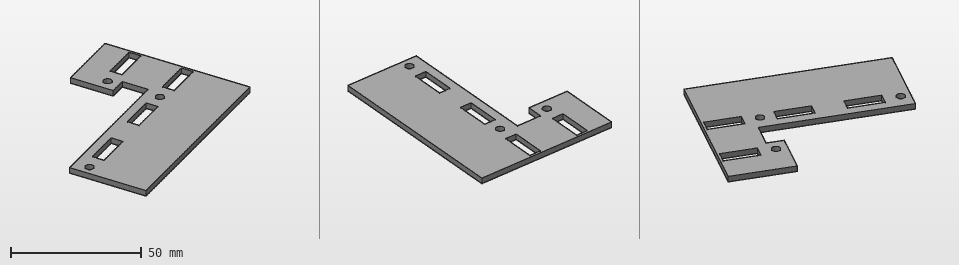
import cadquery as cq

plate_width = 63.5
plate_length = 82.9
thickness = 2.6

arm_width = 18.7
arm_length = 27.5
strip_left = 30.0
notch_back = 20.3

left_column = 13.7
right_column = 36.6

slot_width = 5.1
slot_length = 15.0
slot_margin = 1.1
slot_pitch = 27.9

hole_diameter = 3.6
back_hole_offset = 22.8
front_hole_offset = 78.8

first_slot_y = -(slot_margin + slot_length / 2)
slot_centers = [(left_column, first_slot_y)]
for row in range(3):
    slot_centers.append((right_column, first_slot_y - row * slot_pitch))

hole_centers = [
    (left_column, -back_hole_offset),
    (right_column, -back_hole_offset),
    (right_column, -front_hole_offset),
]


def make_plate():
    """Flat plate with a main strip and a short side arm."""
    outline = [
        (0, 0),
        (plate_width, 0),
        (plate_width, -plate_length),
        (strip_left, -plate_length),
        (strip_left, -notch_back),
        (arm_width, -notch_back),
        (arm_width, -arm_length),
        (0, -arm_length),
    ]
    return cq.Workplane("XY").polyline(outline).close().extrude(thickness)


def make_slots():
    """Cutters for the rectangular through slots."""
    return cq.Workplane("XY").pushPoints(slot_centers).rect(slot_width, slot_length).extrude(thickness)


def make_holes():
    """Cutters for the round through holes."""
    return cq.Workplane("XY").pushPoints(hole_centers).circle(hole_diameter / 2).extrude(thickness)


result = make_plate().cut(make_slots()).cut(make_holes())